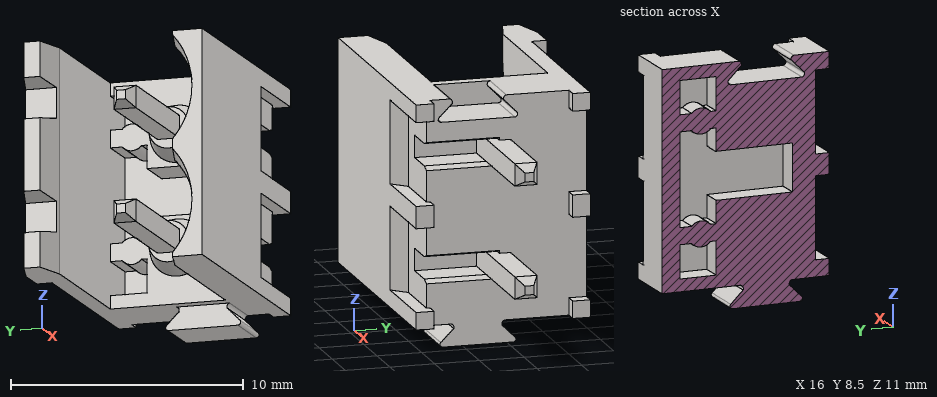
import cadquery as cq


height = 10.0
housing_length = 12.0
base_start = 8.34
base_end = 11.4
front_wall = 1.75
back_wall_inner = 6.96
back_wall_outer = 7.8
lead_in_length = 1.5
lead_in_depth = 0.4

latch_outer = 8.5
latch_length = 2.98
latch_notch_depth = 1.25
latch_notch_mouth = 1.82
latch_notch_floor = 1.36

rail_depth = 0.8
end_rail_height = 0.78
middle_rail_height = 1.0

pole_pitch = 5.02
pole_heights = [(height - pole_pitch) / 2, (height + pole_pitch) / 2]
pin_y = 3.9
pin_width = 1.0
pin_start = 0.67
pin_end = 16.0
pin_tip_width = 0.4
pin_tip_length = 0.55
collar_start = 7.09
collar_tip_radius = 0.91
collar_base_radius = 1.26

scallop_radius = 3.44

pocket_depth = 2.0
pocket_margin = 0.6
pocket_front = 5.3
pocket_middle_height = 2.16
bridge_height = 0.78
bridge_boss_radius = 0.6
bridge_boss_y = 5.98

window_start = 7.98
window_depth = 0.64
slot_start = 9.58
slot_flare_length = 0.35
slot_flare = 0.13

dovetail_y = 2.95
dovetail_start = 8.9
dovetail_height = 1.0
dovetail_root = 1.2
dovetail_neck = 1.09
dovetail_neck_depth = 0.2
dovetail_foot_fillet = 0.13
groove_clearance = 0.06


def box(x_range, y_range, z_range):
    """Box given by its limits along each axis."""
    size = [high - low for low, high in (x_range, y_range, z_range)]
    corner = (x_range[0], y_range[0], z_range[0])
    return cq.Workplane("XY").box(*size, centered=False).translate(corner)


def centred(middle, width):
    """Limits of a span of the given width about its middle."""
    return (middle - width / 2, middle + width / 2)


def cross_section(x, y=0, z=0):
    """YZ workplane at x, looking along +X, with its origin at (y, z)."""
    return cq.Workplane("YZ", origin=(x, y, z))


def cone(x, length, z, start_radius, end_radius):
    """Truncated cone along +X about a pin axis."""
    return (
        cross_section(x, pin_y, z).circle(start_radius)
        .workplane(offset=length).circle(end_radius).loft(combine=True)
    )


def make_housing():
    """Housing profile seen along Z: front wall, base, rails and latch wall, over the full height."""
    outline = [
        (0, 0),
        (housing_length, 0),
        (housing_length, rail_depth),
        (base_end, rail_depth),
        (base_end, back_wall_outer - rail_depth),
        (housing_length, back_wall_outer - rail_depth),
        (housing_length, back_wall_outer),
        (latch_length, back_wall_outer),
        (latch_length, latch_outer),
        (lead_in_length, latch_outer),
        (0, latch_outer - lead_in_depth),
        (0, back_wall_inner + lead_in_depth),
        (lead_in_length, back_wall_inner),
        (base_start, back_wall_inner),
        (base_start, front_wall),
        (lead_in_length, front_wall),
        (0, front_wall - lead_in_depth),
    ]
    return cq.Workplane("XY").polyline(outline).close().extrude(height)


def rail_gaps():
    """Z limits of the two gaps left between the three rails."""
    middle_low, middle_high = centred(height / 2, middle_rail_height)
    return [(end_rail_height, middle_low), (middle_high, height - end_rail_height)]


def make_window(z_range):
    """Recess in the front wall, with a 45-degree ramp, that also parts the rails."""
    outline = [
        (window_start, 0),
        (window_start + window_depth, window_depth),
        (housing_length, window_depth),
        (housing_length, 0),
    ]
    recess = cq.Workplane("XY", origin=(0, 0, z_range[0])).polyline(outline).close()
    recess = recess.extrude(z_range[1] - z_range[0])
    rail_gap = box((base_end, housing_length), (0, latch_outer), z_range)
    return recess.union(rail_gap)


def make_slot(z):
    """Slot from the front face to the pin, flared where it leaves the base."""
    half = pin_width / 2
    flare_start = base_end - slot_flare_length
    outline = [
        (slot_start, z - half),
        (flare_start, z - half),
        (base_end, z - half - slot_flare),
        (base_end, z + half + slot_flare),
        (flare_start, z + half),
        (slot_start, z + half),
    ]
    return cq.Workplane("XZ").polyline(outline).close().extrude(-pin_y)


def make_latch_notch(z):
    """Tapered notch across the latch lip."""
    mouth = latch_notch_mouth / 2
    floor = latch_notch_floor / 2
    outline = [
        (0, z - mouth),
        (latch_notch_depth, z - floor),
        (latch_notch_depth, z + floor),
        (0, z + mouth),
    ]
    notch = cq.Workplane("XZ", origin=(0, latch_outer, 0)).polyline(outline).close()
    return notch.extrude(latch_outer - back_wall_inner)


def make_scallop(z):
    """Round relief in the front wall about a pole, conical at the mouth and straight to the base."""
    floor_radius = scallop_radius - lead_in_depth
    mouth = cone(0, lead_in_length, z, scallop_radius, floor_radius)
    bore = cross_section(lead_in_length, pin_y, z).circle(floor_radius)
    bore = bore.extrude(base_start - lead_in_length)
    front_half = box((0, base_start), (0, pin_y), (0, height))
    return mouth.union(bore).intersect(front_half)


def make_pocket():
    """Pocket in the base floor: a strip beside the back wall and a bay between the poles."""
    x_range = (base_start, base_start + pocket_depth)
    strip = box(x_range, (pocket_front, back_wall_inner), (pocket_margin, height - pocket_margin))
    bay = box(x_range, (front_wall, back_wall_inner), centred(height / 2, pocket_middle_height))
    pocket = strip.union(bay)
    for z in pole_heights:
        bridge = box(x_range, (pocket_front, back_wall_inner), centred(z, bridge_height))
        boss = cross_section(base_start, bridge_boss_y, z).circle(bridge_boss_radius)
        pocket = pocket.cut(bridge).cut(boss.extrude(pocket_depth))
    return pocket


def make_pin(z):
    """Square pin with tapered tips and the conical collar around it on the base floor."""
    shank_start = pin_start + pin_tip_length
    shank_end = pin_end - pin_tip_length
    pin = box((shank_start, shank_end), centred(pin_y, pin_width), centred(z, pin_width))
    for tip_x, shank_x in ((pin_start, shank_start), (pin_end, shank_end)):
        tip = (
            cross_section(shank_x, pin_y, z).rect(pin_width, pin_width)
            .workplane(offset=tip_x - shank_x).rect(pin_tip_width, pin_tip_width)
            .loft(combine=True)
        )
        pin = pin.union(tip)
    collar = cone(collar_start, base_start - collar_start, z, collar_tip_radius, collar_base_radius)
    return pin.union(collar)


def make_dovetail(z, clearance=0):
    """Dovetail with 45-degree flanks hanging below z, widened on each side by the clearance."""
    root = dovetail_root + clearance
    neck = dovetail_neck + clearance
    foot = neck + dovetail_height - dovetail_neck_depth
    mid_neck_depth = dovetail_neck_depth / 2
    dovetail = (
        cross_section(dovetail_start, dovetail_y, z)
        .moveTo(-root, 0)
        .threePointArc((-neck, -mid_neck_depth), (-neck, -dovetail_neck_depth))
        .lineTo(-foot, -dovetail_height)
        .lineTo(foot, -dovetail_height)
        .lineTo(neck, -dovetail_neck_depth)
        .threePointArc((neck, -mid_neck_depth), (root, 0))
        .close().extrude(base_end - dovetail_start)
    )
    return dovetail.faces("<Z").edges("|X").fillet(dovetail_foot_fillet)


result = make_housing().cut(make_pocket())
for gap in rail_gaps():
    result = result.cut(make_window(gap))
for pole_z in pole_heights:
    result = result.cut(make_scallop(pole_z))
    result = result.cut(make_latch_notch(pole_z))
    result = result.cut(make_slot(pole_z))
    result = result.union(make_pin(pole_z))
result = result.cut(make_dovetail(height, groove_clearance))
result = result.union(make_dovetail(0))